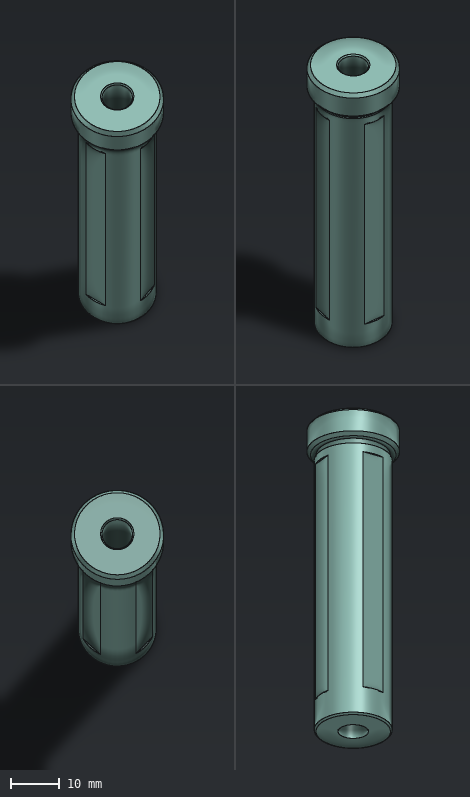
import cadquery as cq

total_length = 69.85
head_diameter = 19.0
head_height = 6.35
shank_diameter = 16.0
bore_diameter = 6.2

head_chamfer = 0.75
bore_chamfer = 0.3

relief_depth = 0.38
neck_height = 1.27

flat_bottom = 6.35
flat_top_below_head_top = 9.5
flat_count = 4

full_turn = 360

head_radius = head_diameter / 2
shank_radius = shank_diameter / 2
bore_radius = bore_diameter / 2
relief_radius = shank_radius - relief_depth
shank_length = total_length - head_height
flat_length = total_length - flat_top_below_head_top - flat_bottom


def turned_body():
    """Revolve the half section of the bored, chamfered bushing about Z."""
    section = [
        (bore_radius, 0),
        (relief_radius, 0),
        (shank_radius, relief_depth),
        (shank_radius, shank_length - neck_height),
        (relief_radius, shank_length - neck_height),
        (relief_radius, shank_length),
        (head_radius - head_chamfer, shank_length),
        (head_radius, shank_length + head_chamfer),
        (head_radius, total_length - head_chamfer),
        (head_radius - head_chamfer, total_length),
        (bore_radius + bore_chamfer, total_length),
        (bore_radius, total_length - bore_chamfer),
    ]
    return cq.Workplane("XZ").polyline(section).close().revolve(full_turn, (0, 0), (0, 1))


def flat_cutter(angle):
    """Block that mills one flat into the shank, turned about Z by the given angle."""
    block = cq.Workplane("XY").box(
        shank_radius, shank_diameter, flat_length, centered=(False, True, False)
    )
    return block.translate((relief_radius, 0, flat_bottom)).rotate((0, 0, 0), (0, 0, 1), angle)


result = turned_body()
for index in range(flat_count):
    result = result.cut(flat_cutter(index * full_turn / flat_count))